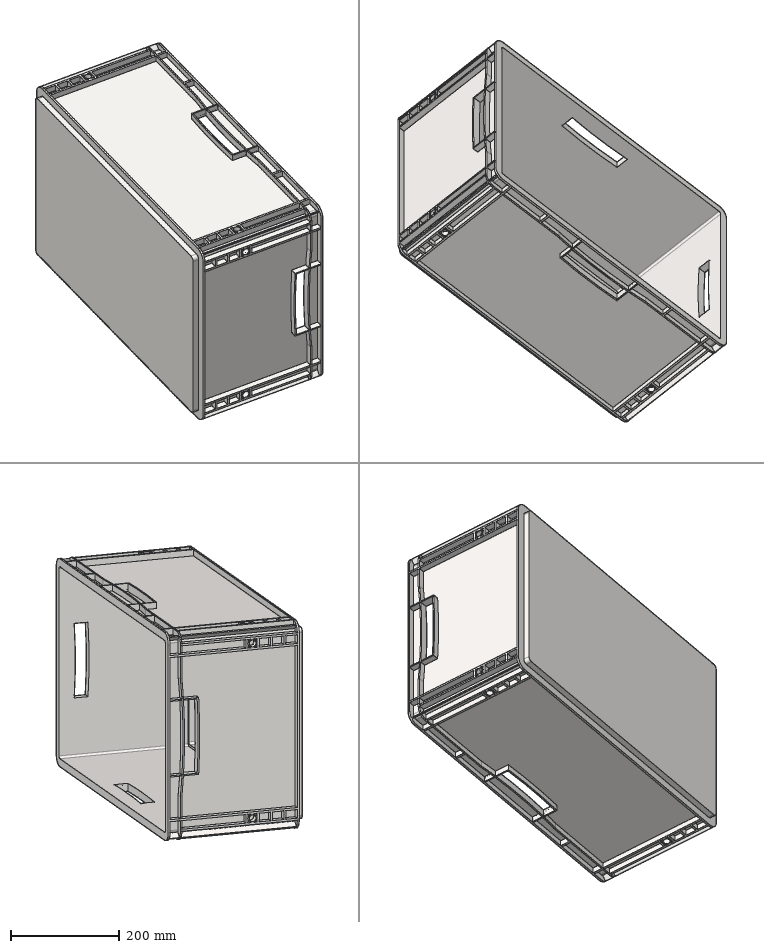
import cadquery as cq
import math


length = 598.0
height = 398.0
depth = 270.0
corner_radius = 20.0
wall = 3.5
recess = 12.0
flange = 4.0

foot_height = 12.0
foot_inset = 16.0
foot_radius = 8.0

column_rib = 4.0
column_outer_rib = 3.9
edge_rib = 3.0
diagonal_rib = 2.5
column_edge = 40.0
edge_rib_depth = 24.0
mid_rib_offset = 159.0

rung_pitch = 26.5
rung_count = 3
boss_cell = 18.0
boss_bore_radius = 6.5

handle_half = 71.0
handle_side_rib = 2.5
handle_base_rib = 3.0
handle_base_depth = 59.0
bow_half = 112.5
bow_drop = 5.5

half_length = length / 2
half_height = height / 2
flange_depth = depth - foot_height
panel_depth = flange_depth - flange
base_inside = foot_height + flange
bow_radius = (bow_half**2 + bow_drop**2) / (2 * bow_drop)
handle_top_depth = edge_rib_depth + bow_drop + edge_rib
handle_rise = bow_radius - math.sqrt(bow_radius**2 - handle_half**2)


def slab(inset, radius, y_start, y_end):
    """Rounded rectangle, inset from the outer outline, between two Y positions."""
    return (
        cq.Workplane("XZ", origin=(0, y_start, 0))
        .rect(length - 2 * inset, height - 2 * inset)
        .extrude(y_start - y_end)
        .edges("|Y")
        .fillet(radius)
    )


def rib_block(u_start, u_end, depth_start, depth_end, outer):
    """Rib reaching from the skin out to the outer face of a wall."""
    return cq.Workplane("XY").box(
        u_end - u_start, depth_end - depth_start, recess, centered=False
    ).translate((u_start, depth - depth_end, outer - recess))


def curved_rib(half_straight, outer):
    """Rib under the mouth that bows towards the base above the handle."""
    top = depth - edge_rib_depth
    base = top - edge_rib
    return (
        cq.Workplane("XY", origin=(0, 0, outer - recess))
        .moveTo(-half_straight, top)
        .lineTo(-bow_half, top)
        .threePointArc((0, top - bow_drop), (bow_half, top))
        .lineTo(half_straight, top)
        .lineTo(half_straight, base)
        .lineTo(bow_half, base)
        .threePointArc((0, base - bow_drop), (-bow_half, base))
        .lineTo(-half_straight, base)
        .close()
        .extrude(recess)
    )


def handle_prism(side_rib, base_rib, top_depth, z_start, z_end):
    """Handle outline with bowed upper and lower edges, grown by the ribs around it."""
    half = handle_half + side_rib
    top = depth - top_depth
    base = depth - handle_base_depth - base_rib
    return (
        cq.Workplane("XY", origin=(0, 0, z_start))
        .moveTo(-half, top + handle_rise)
        .threePointArc((0, top), (half, top + handle_rise))
        .lineTo(half, base + handle_rise)
        .threePointArc((0, base), (-half, base + handle_rise))
        .close()
        .extrude(z_end - z_start)
    )


def handle_opening(outer):
    """Cutter that passes through the skin of one wall with room to spare on both sides."""
    return handle_prism(0, 0, handle_top_depth, outer - recess - 2 * wall, outer + wall)


def column(half, outer):
    """Pair of ribs with rungs and a round boss, beside the corner at +u."""
    u_outer = half - corner_radius
    u_cell = u_outer - column_outer_rib
    u_inner = half - column_edge
    ribs = rib_block(u_cell, u_outer, edge_rib_depth, panel_depth, outer)
    ribs = ribs.union(rib_block(u_inner - column_rib, u_inner, flange, panel_depth, outer))

    rung_depths = [panel_depth - rung_pitch * (i + 1) for i in range(rung_count)]
    boss_end = rung_depths[-1]
    rung_depths.append(boss_end - boss_cell - column_rib)
    for rung_depth in rung_depths:
        ribs = ribs.union(rib_block(u_inner, u_cell, rung_depth, rung_depth + column_rib, outer))

    boss_depth = boss_end - boss_cell / 2
    boss = (
        cq.Workplane("XY", origin=((u_inner + u_cell) / 2, depth - boss_depth, outer - recess))
        .circle(boss_cell / 2)
        .circle(boss_bore_radius)
        .extrude(recess)
    )
    return ribs.union(boss)


def wall_ribs(half, outer, mid_ribs):
    """All ribs of one wall, built on the +Z side with u along X."""
    right_column = column(half, outer)
    ribs = right_column.union(right_column.mirror("YZ"))
    ribs = ribs.union(curved_rib(half - corner_radius, outer))

    rim = handle_prism(handle_side_rib, handle_base_rib, flange, outer - recess, outer)
    ribs = ribs.union(rim.cut(handle_prism(0, 0, 0, outer - recess, outer)))

    for u in mid_ribs:
        ribs = ribs.union(
            rib_block(u - column_rib / 2, u + column_rib / 2, flange, edge_rib_depth, outer)
        )
    return ribs


def corner_ribs(side_x, side_z):
    """Diagonal rib along a rounded corner, and the rib under the mouth carried round it."""
    centre_x = side_x * (half_length - corner_radius)
    centre_z = side_z * (half_height - corner_radius)
    diagonal = (
        cq.Workplane("XY")
        .box(2 * corner_radius, panel_depth, diagonal_rib)
        .translate((corner_radius, 0, 0))
        .rotate((0, 0, 0), (0, 1, 0), -math.degrees(math.atan2(side_z, side_x)))
        .translate((centre_x, depth - panel_depth / 2, centre_z))
    )
    link = cq.Workplane("XY").box(corner_radius, edge_rib, corner_radius).translate(
        (
            centre_x + side_x * corner_radius / 2,
            depth - edge_rib_depth - edge_rib / 2,
            centre_z + side_z * corner_radius / 2,
        )
    )
    return diagonal.union(link)


def turned(shape, angle):
    """Shape turned about the Y axis, from one wall to another."""
    return shape.rotate((0, 0, 0), (0, 1, 0), angle)


outline = slab(0, corner_radius, foot_height, depth)
body = slab(recess, corner_radius - recess, foot_height, depth)
body = body.union(slab(0, corner_radius, depth - flange, depth))
body = body.union(slab(0, corner_radius, foot_height, foot_height + flange))
body = body.union(slab(foot_inset, foot_radius, 0, foot_height))

for side_x in (-1, 1):
    for side_z in (-1, 1):
        body = body.union(corner_ribs(side_x, side_z).intersect(outline))

long_wall = wall_ribs(half_length, half_height, (-mid_rib_offset, mid_rib_offset))
short_wall = wall_ribs(half_height, half_length, ())
for angle in (0, 180):
    body = body.union(turned(long_wall, angle))
    body = body.union(turned(short_wall, angle + 90))

body = body.cut(slab(recess + wall, corner_radius - recess - wall, base_inside, depth))
body = body.cut(slab(foot_inset + wall, foot_radius - wall, wall, base_inside))

for angle in (0, 180):
    body = body.cut(turned(handle_opening(half_height), angle))
    body = body.cut(turned(handle_opening(half_length), angle + 90))

result = body